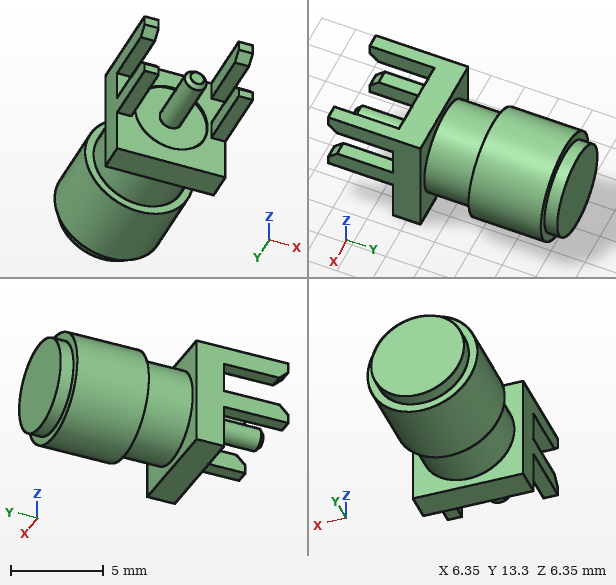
import cadquery as cq

total_length = 13.33
plate_size = 6.35
half_size = plate_size / 2

plate_front = 3.83
plate_back = 5.47
collar_start = 8.3
collar_end = 12.57

barrel_diameter = 5.35
collar_diameter = 6.33
recess_diameter = 4.25
recess_depth = 0.1

pin_diameter = 1.27
pin_tip_y = 0.2
pin_chamfer = 0.24

leg_width = 0.83
leg_chamfer_length = 0.53
upper_leg_height = 1.07
upper_leg_chamfer_height = 0.49
middle_leg_height = 1.04
middle_leg_top = 0.39
middle_leg_chamfer_height = 0.53


def cylinder(diameter, start, end):
    """Cylinder around the Y axis between two stations."""
    circle = cq.Workplane("XZ", origin=(0, start, 0)).circle(diameter / 2)
    return circle.extrude(start - end)


def leg_pair(square_z, chamfered_z, chamfer_height):
    """Two legs at the plate sides, each beveled at the tip on its chamfered_z face."""
    toward_square = 1 if square_z > chamfered_z else -1
    tip_z = chamfered_z + toward_square * chamfer_height
    profile = [
        (plate_back, square_z),
        (0, square_z),
        (0, tip_z),
        (leg_chamfer_length, chamfered_z),
        (plate_back, chamfered_z),
    ]
    left = cq.Workplane("YZ", origin=(-half_size, 0, 0)).polyline(profile).close().extrude(leg_width)
    return left.union(left.mirror("YZ"))


plate = cq.Workplane("XY").box(plate_size, plate_back - plate_front, plate_size)
plate = plate.translate((0, (plate_front + plate_back) / 2, 0))
recess_floor = plate_front + recess_depth
plate = plate.cut(cylinder(recess_diameter, plate_front, recess_floor))

barrel = cylinder(barrel_diameter, plate_back, total_length)
collar = cylinder(collar_diameter, collar_start, collar_end)

pin = cylinder(pin_diameter, pin_tip_y, plate_back).faces("<Y").chamfer(pin_chamfer)

upper_legs = leg_pair(half_size, half_size - upper_leg_height, upper_leg_chamfer_height)
middle_legs = leg_pair(middle_leg_top - middle_leg_height, middle_leg_top, middle_leg_chamfer_height)

result = plate.union(barrel).union(collar).union(pin).union(upper_legs).union(middle_legs)